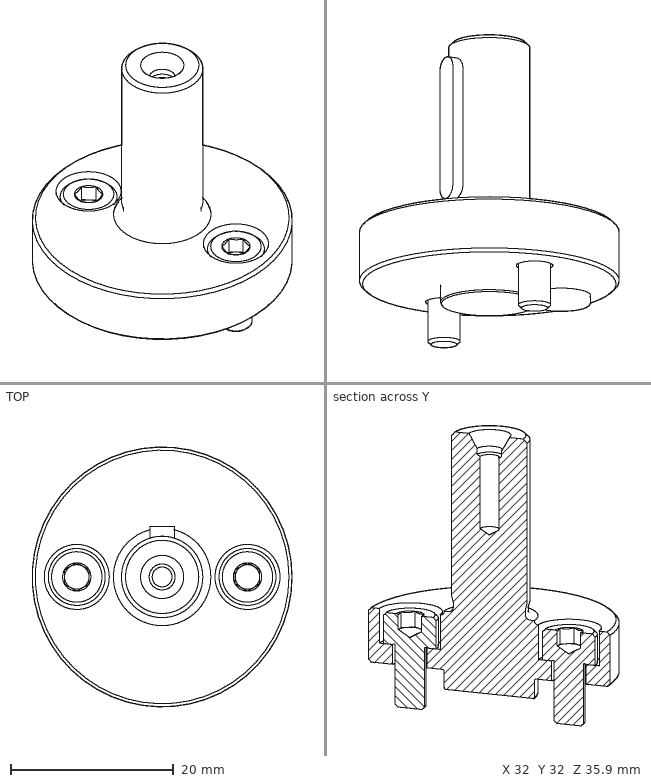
import cadquery as cq
import math

flange_diameter = 32.0
flange_thickness = 7.0
flange_chamfer = 0.4

collar_diameter = 12.0
collar_height = 0.5
collar_fillet = 0.4

shaft_diameter = 10.0
shaft_top = 30.5
shaft_chamfer = 0.5
groove_diameter = 9.6
groove_width = 2.0
groove_fillet = 0.6
groove_bend_radius = 0.43
groove_ramp_angle = 15.0

centre_cone_diameter = 5.3
centre_cone_half_angle = 30.0
centre_recess_diameter = 3.2
centre_recess_depth = 2.6
centre_bore_diameter = 2.45
centre_bore_depth = 12.0
drill_half_angle = 60.0

spigot_diameter = 12.0
spigot_height = 2.5
spigot_fillet = 0.18
spigot_lead_height = 0.2
spigot_lead_inset = 0.1

boss_diameter = 7.0
boss_stretch = 0.1
boss_height = 1.2
boss_fillet = 0.3

feature_circle_diameter = 21.0
feature_radius = feature_circle_diameter / 2

screw_diameter = 4.0
screw_length = 7.97
screw_chamfer = 0.4
head_diameter = 7.0
head_height = 4.0
head_chamfer = 0.4
socket_width = 3.0
socket_depth = 2.0
socket_turn = 30.0
clearance_diameter = 4.5
counterbore_diameter = 8.0
counterbore_depth = 4.4
screw_positions = [(-feature_radius, 0), (feature_radius, 0)]

key_width = 3.0
key_length = 18.0
key_height = 3.0
keyway_depth = 1.8
key_to_shaft_end = 2.5

collar_top = flange_thickness + collar_height
seat_height = flange_thickness - counterbore_depth


def make_shaft():
    """Shaft and collar, revolved from a half profile in the XZ plane."""
    shaft_radius = shaft_diameter / 2
    groove_radius = groove_diameter / 2
    collar_radius = collar_diameter / 2
    ramp = math.radians(groove_ramp_angle)
    groove_top = collar_top + groove_width
    ramp_foot = groove_top - (shaft_radius - groove_radius) / math.tan(ramp)
    bend_tangent = groove_bend_radius * math.tan(ramp / 2)
    bend_start = ramp_foot - bend_tangent
    diagonal = math.sqrt(0.5)

    def bend_point(angle):
        """Point on the arc that joins the groove floor to its ramp."""
        return (
            groove_radius + groove_bend_radius * (1 - math.cos(angle)),
            bend_start + groove_bend_radius * math.sin(angle),
        )

    return (
        cq.Workplane("XZ")
        .moveTo(0, flange_thickness)
        .lineTo(collar_radius + collar_fillet, flange_thickness)
        .threePointArc(
            (
                collar_radius + collar_fillet * (1 - diagonal),
                flange_thickness + collar_fillet * (1 - diagonal),
            ),
            (collar_radius, flange_thickness + collar_fillet),
        )
        .lineTo(collar_radius, collar_top)
        .lineTo(groove_radius + groove_fillet, collar_top)
        .threePointArc(
            (
                groove_radius + groove_fillet * (1 - diagonal),
                collar_top + groove_fillet * (1 - diagonal),
            ),
            (groove_radius, collar_top + groove_fillet),
        )
        .lineTo(groove_radius, bend_start)
        .threePointArc(bend_point(ramp / 2), bend_point(ramp))
        .lineTo(shaft_radius, groove_top)
        .lineTo(shaft_radius, shaft_top - shaft_chamfer)
        .lineTo(shaft_radius - shaft_chamfer, shaft_top)
        .lineTo(0, shaft_top)
        .close()
        .revolve(360, (0, 0, 0), (0, 1, 0))
    )


def make_centre_hole():
    """Cutter for the centre hole: cone, recess, bore and drill point."""
    cone_radius = centre_cone_diameter / 2
    recess_radius = centre_recess_diameter / 2
    bore_radius = centre_bore_diameter / 2
    drill_slope = math.tan(math.radians(drill_half_angle))
    cone_depth = (cone_radius - recess_radius) / math.tan(math.radians(centre_cone_half_angle))
    recess_taper = (recess_radius - bore_radius) / drill_slope
    return (
        cq.Workplane("XZ")
        .moveTo(0, shaft_top)
        .lineTo(cone_radius, shaft_top)
        .lineTo(recess_radius, shaft_top - cone_depth)
        .lineTo(recess_radius, shaft_top - centre_recess_depth)
        .lineTo(bore_radius, shaft_top - centre_recess_depth - recess_taper)
        .lineTo(bore_radius, shaft_top - centre_bore_depth)
        .lineTo(0, shaft_top - centre_bore_depth - bore_radius / drill_slope)
        .close()
        .revolve(360, (0, 0, 0), (0, 1, 0))
    )


def make_spigot():
    """Centring spigot with a steep lead-in at its rim and a fillet at the flange."""
    radius = spigot_diameter / 2
    mid_arc = spigot_fillet * (1 - math.sqrt(0.5))
    return (
        cq.Workplane("XZ")
        .lineTo(radius + spigot_fillet, 0)
        .threePointArc((radius + mid_arc, -mid_arc), (radius, -spigot_fillet))
        .lineTo(radius, spigot_lead_height - spigot_height)
        .lineTo(radius - spigot_lead_inset, -spigot_height)
        .lineTo(0, -spigot_height)
        .close()
        .revolve(360, (0, 0, 0), (0, 1, 0))
    )


def make_locating_boss():
    """Nearly round boss on the -Y side of the flange underside."""
    return (
        cq.Workplane("XY")
        .center(0, -feature_radius)
        .slot2D(boss_diameter + boss_stretch, boss_diameter, 90)
        .extrude(-boss_height)
        .faces("<Z")
        .edges()
        .fillet(boss_fillet)
    )


def make_screw_holes():
    """Cutters for the counterbored clearance holes."""
    clearance = (
        cq.Workplane("XY")
        .pushPoints(screw_positions)
        .circle(clearance_diameter / 2)
        .extrude(flange_thickness)
    )
    counterbores = (
        cq.Workplane("XY")
        .workplane(offset=seat_height)
        .pushPoints(screw_positions)
        .circle(counterbore_diameter / 2)
        .extrude(counterbore_depth)
    )
    return clearance.union(counterbores)


def make_key():
    """Round-ended key, seated on the flat floor of the keyway."""
    key_centre = shaft_top - key_to_shaft_end - key_length / 2
    key_floor = shaft_diameter / 2 - keyway_depth
    return (
        cq.Workplane("XZ", origin=(0, key_floor, key_centre))
        .slot2D(key_length, key_width, 90)
        .extrude(-key_height)
    )


def make_flanged_shaft(key):
    """Flange, shaft, spigot and boss in one piece, with all holes and the keyway."""
    flange = (
        cq.Workplane("XY")
        .circle(flange_diameter / 2)
        .extrude(flange_thickness)
        .edges()
        .chamfer(flange_chamfer)
    )
    return (
        flange.union(make_shaft())
        .union(make_spigot())
        .union(make_locating_boss())
        .cut(make_centre_hole())
        .cut(make_screw_holes())
        .cut(key)
        .solids()
    )


def make_socket():
    """Cutter for a hexagon socket with flats facing X, its mouth at z = 0."""
    corner_radius = socket_width / math.sqrt(3)
    flat_radius = socket_width / 2
    point_depth = flat_radius / math.tan(math.radians(drill_half_angle))
    hexagon = (
        cq.Workplane("XY")
        .polygon(6, 2 * corner_radius)
        .extrude(-socket_depth)
        .rotate((0, 0, 0), (0, 0, 1), socket_turn)
    )
    point = cq.Workplane(
        cq.Solid.makeCone(
            flat_radius, 0, point_depth, pnt=cq.Vector(0, 0, -socket_depth), dir=cq.Vector(0, 0, -1)
        )
    )
    countersink_depth = corner_radius / math.tan(math.radians(drill_half_angle))
    countersink = cq.Workplane(
        cq.Solid.makeCone(corner_radius, 0, countersink_depth, dir=cq.Vector(0, 0, -1))
    )
    return hexagon.union(point).union(countersink)


def make_screw(x, y):
    """Cap screw whose head rests on the counterbore floor."""
    shank = (
        cq.Workplane("XY")
        .circle(screw_diameter / 2)
        .extrude(-screw_length)
        .faces("<Z")
        .chamfer(screw_chamfer)
    )
    head = (
        cq.Workplane("XY")
        .circle(head_diameter / 2)
        .extrude(head_height)
        .faces(">Z")
        .chamfer(head_chamfer)
    )
    socket = make_socket().translate((0, 0, head_height))
    return shank.union(head).cut(socket).translate((x, y, seat_height)).solids()


key = make_key()
flanged_shaft = make_flanged_shaft(key)
screws = [make_screw(x, y) for x, y in screw_positions]

result = cq.Compound.makeCompound(
    [flanged_shaft.val(), key.val(), *[screw.val() for screw in screws]]
)